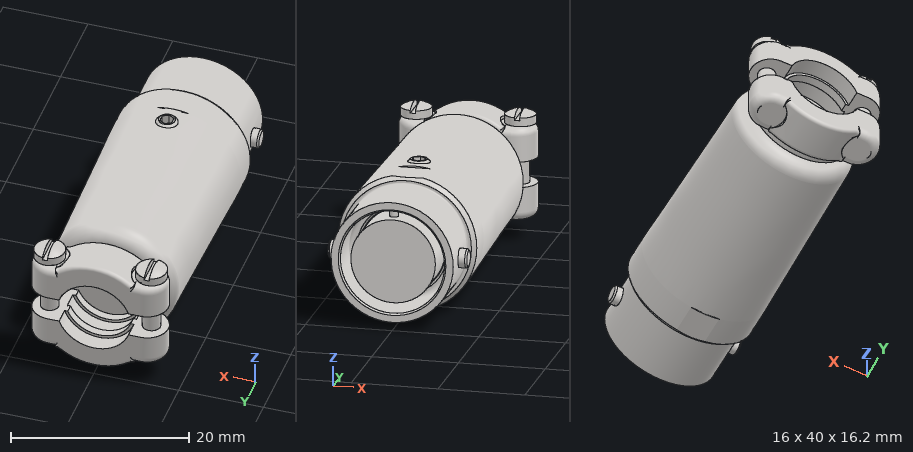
import cadquery as cq
import math


barrel_radius = 7.05
bore_radius = 6.0
bore_depth = 5.0
bore_mouth_chamfer = 0.2
bore_floor_fillet = 0.5
insert_radius = 4.87
insert_recess = 0.5
insert_groove_radius = 5.2
insert_groove_depth = 0.25

key_radius = 0.5
key_tip = insert_groove_radius
key_y = 1.0

pin_radius = 1.1
pin_reach = 8.0
pin_chamfer = 0.2
pin_y = 3.5

shell_radius = 8.0
collar_y = 7.0
collar_chamfer = 0.5
collar_root_fillet = 0.2
collar_flat = 7.8
shell_front_y = 11.0
shell_rear_y = 34.0
shell_rear_radius = 7.5
shell_rear_fillet = 2.0

set_screw_y = 13.2
set_screw_radius = 1.3
set_screw_top = 8.18
set_screw_length = 3.0
set_screw_chamfer = 0.35
hex_across_flats = 1.4
hex_depth = 1.2

clamp_width = 5.0
neck_length = 1.0
clamp_front_y = shell_rear_y + neck_length
clamp_y = clamp_front_y + clamp_width / 2
clamp_gap = 3.0
bow_radius = 7.0
bow_edge_fillet = 0.5
blend_radius = 1.0
ear_height = 5.5
ear_reach = 8.0
ear_fillet = 1.0
cable_radius = 4.0
grip_rib_width = 1.0
grip_rib_height = 0.35
neck_radius = 6.0

screw_x = 6.0
screw_radius = 1.05
head_radius = 1.8
head_rim_height = 1.0
head_dome_height = 0.6
head_slot_width = 0.6
head_slot_depth = 0.9
spot_face_radius = 2.25


def cylinder_y(radius, y_start, y_end):
    """Cylinder on the connector axis."""
    return cq.Workplane("XZ", origin=(0, y_start, 0)).circle(radius).extrude(y_start - y_end)


def cylinder_z(radius, x, y, z_start, z_end):
    """Upright cylinder."""
    return cq.Workplane("XY", origin=(x, y, z_start)).circle(radius).extrude(z_end - z_start)


def box(x_range, y_range, z_range):
    """Box between pairs of limits."""
    lows, highs = zip(x_range, y_range, z_range)
    sizes = [high - low for low, high in zip(lows, highs)]
    return cq.Workplane("XY").box(*sizes, centered=False).translate(lows)


def make_shell():
    """Barrel, collar and tapered shell, turned about Y with two flats on the collar."""
    collar_face_radius = barrel_radius + collar_root_fillet
    front = (
        cq.Workplane("XY")
        .lineTo(barrel_radius, 0)
        .lineTo(barrel_radius, collar_y - collar_root_fillet)
        .radiusArc((collar_face_radius, collar_y), collar_root_fillet)
        .lineTo(shell_radius - collar_chamfer, collar_y)
        .lineTo(shell_radius, collar_y + collar_chamfer)
        .lineTo(shell_radius, shell_front_y)
        .lineTo(0, shell_front_y)
        .close()
        .revolve(360, (0, 0), (0, 1))
    )
    flats = box(
        (-shell_radius, shell_radius),
        (collar_y - collar_root_fillet, shell_front_y),
        (-collar_flat, collar_flat),
    )
    barrel = cylinder_y(barrel_radius, 0, shell_front_y)
    front = front.intersect(flats.union(barrel))

    taper = (
        cq.Workplane("XY", origin=(0, shell_front_y, 0))
        .lineTo(shell_radius, 0)
        .lineTo(shell_rear_radius, shell_rear_y - shell_front_y)
        .lineTo(0, shell_rear_y - shell_front_y)
        .close()
        .revolve(360, (0, 0), (0, 1))
        .faces(">Y")
        .edges()
        .fillet(shell_rear_fillet)
    )
    return front.union(taper)


def make_bore():
    """Annular space between the barrel and the insert."""
    groove_y = bore_depth + insert_groove_depth
    return (
        cq.Workplane("XY")
        .lineTo(bore_radius + bore_mouth_chamfer, 0)
        .lineTo(bore_radius, bore_mouth_chamfer)
        .lineTo(bore_radius, bore_depth - bore_floor_fillet)
        .radiusArc((bore_radius - bore_floor_fillet, bore_depth), -bore_floor_fillet)
        .lineTo(insert_groove_radius, bore_depth)
        .lineTo(insert_groove_radius - insert_groove_depth, groove_y)
        .lineTo(insert_radius, groove_y)
        .lineTo(insert_radius, insert_recess)
        .lineTo(0, insert_recess)
        .close()
        .revolve(360, (0, 0), (0, 1))
    )


def make_bayonet_pin(side):
    """Chamfered radial pin on one side of the barrel."""
    root = (barrel_radius + bore_radius) / 2
    pin = (
        cq.Workplane("YZ", origin=(root, pin_y, 0))
        .circle(pin_radius)
        .extrude(pin_reach - root)
        .faces(">X")
        .chamfer(pin_chamfer)
    )
    return pin if side > 0 else pin.mirror("YZ")


def make_key():
    """Radial polarising pin at the top of the bore."""
    root = (barrel_radius + bore_radius) / 2
    return cylinder_z(key_radius, 0, key_y, key_tip, root)


def add_set_screw(shell):
    """Chamfered screw end standing proud of the shell, with a hex socket."""
    screw = cylinder_z(set_screw_radius, 0, set_screw_y, set_screw_top - set_screw_length, set_screw_top)
    screw = screw.faces(">Z").chamfer(set_screw_chamfer)
    socket = (
        cq.Workplane("XY", origin=(0, set_screw_y, set_screw_top))
        .transformed(rotate=(0, 0, 90))
        .polygon(6, hex_across_flats / math.cos(math.pi / 6))
        .extrude(-hex_depth)
    )
    return shell.union(screw).cut(socket)


def make_bow():
    """Arched middle of the upper clamp half, blended down to the ear tops, with rounded edges."""
    blend_z = ear_height + blend_radius
    blend_x = math.sqrt((bow_radius + blend_radius) ** 2 - blend_z**2)
    touch_ratio = bow_radius / (bow_radius + blend_radius)
    touch_x = blend_x * touch_ratio
    touch_z = blend_z * touch_ratio
    return (
        cq.Workplane("XZ", origin=(0, clamp_front_y, 0))
        .moveTo(-blend_x, 0)
        .lineTo(-blend_x, ear_height)
        .radiusArc((-touch_x, touch_z), -blend_radius)
        .radiusArc((touch_x, touch_z), bow_radius)
        .radiusArc((blend_x, ear_height), -blend_radius)
        .lineTo(blend_x, 0)
        .close()
        .extrude(-clamp_width)
        .faces("<Y or >Y")
        .edges()
        .fillet(bow_edge_fillet)
    )


def make_cable_hole():
    """Cable hole through the clamp, with a grip rib left standing halfway along it."""
    rear_y = clamp_front_y + clamp_width
    rib_front_y = clamp_y - grip_rib_width / 2
    rib_rear_y = clamp_y + grip_rib_width / 2
    wide_radius = cable_radius + grip_rib_height
    hole = cylinder_y(cable_radius, clamp_front_y, rear_y)
    hole = hole.union(cylinder_y(wide_radius, clamp_front_y, rib_front_y))
    return hole.union(cylinder_y(wide_radius, rib_rear_y, rear_y))


def make_clamp_half():
    """Upper clamp half: a rounded bow with an ear at each end."""
    y_range = (clamp_front_y, clamp_front_y + clamp_width)
    floor = clamp_gap / 2
    ears = (
        cq.Workplane("XY", origin=(0, clamp_y, floor))
        .slot2D(2 * ear_reach, clamp_width)
        .extrude(ear_height - floor)
        .faces(">Z")
        .edges()
        .fillet(ear_fillet)
    )
    above = box((-ear_reach, ear_reach), y_range, (floor, bow_radius))
    half = ears.union(make_bow().intersect(above))
    for side in (1, -1):
        half = half.cut(cylinder_z(spot_face_radius, side * screw_x, clamp_y, ear_height, bow_radius))
    return half.cut(make_cable_hole())


def make_neck():
    """Half ring that joins the lower clamp half to the shell."""
    y_range = (shell_rear_y, clamp_front_y)
    ring = cylinder_y(neck_radius, *y_range).cut(cylinder_y(cable_radius, *y_range))
    below = box((-neck_radius, neck_radius), y_range, (-neck_radius, -clamp_gap / 2))
    return ring.intersect(below)


def make_clamp_screw(side):
    """Slotted domed screw that holds the clamp halves together."""
    rim_z = ear_height + head_rim_height
    top_z = rim_z + head_dome_height
    dome_radius = (head_radius**2 + head_dome_height**2) / (2 * head_dome_height)
    x = side * screw_x
    head = (
        cq.Workplane("XZ", origin=(x, clamp_y, 0))
        .moveTo(0, ear_height)
        .lineTo(head_radius, ear_height)
        .lineTo(head_radius, rim_z)
        .radiusArc((0, top_z), -dome_radius)
        .close()
        .revolve(360, (0, 0), (0, 1))
    )
    slot = box(
        (x - head_slot_width / 2, x + head_slot_width / 2),
        (clamp_y - head_radius, clamp_y + head_radius),
        (top_z - head_slot_depth, top_z),
    )
    shank = cylinder_z(screw_radius, x, clamp_y, -ear_height, ear_height)
    return head.cut(slot).union(shank)


body = make_shell().cut(make_bore()).union(make_key())
body = add_set_screw(body)
upper_clamp = make_clamp_half()
body = body.union(make_neck()).union(upper_clamp).union(upper_clamp.mirror("XY"))
for side in (1, -1):
    body = body.union(make_bayonet_pin(side)).union(make_clamp_screw(side))

result = body